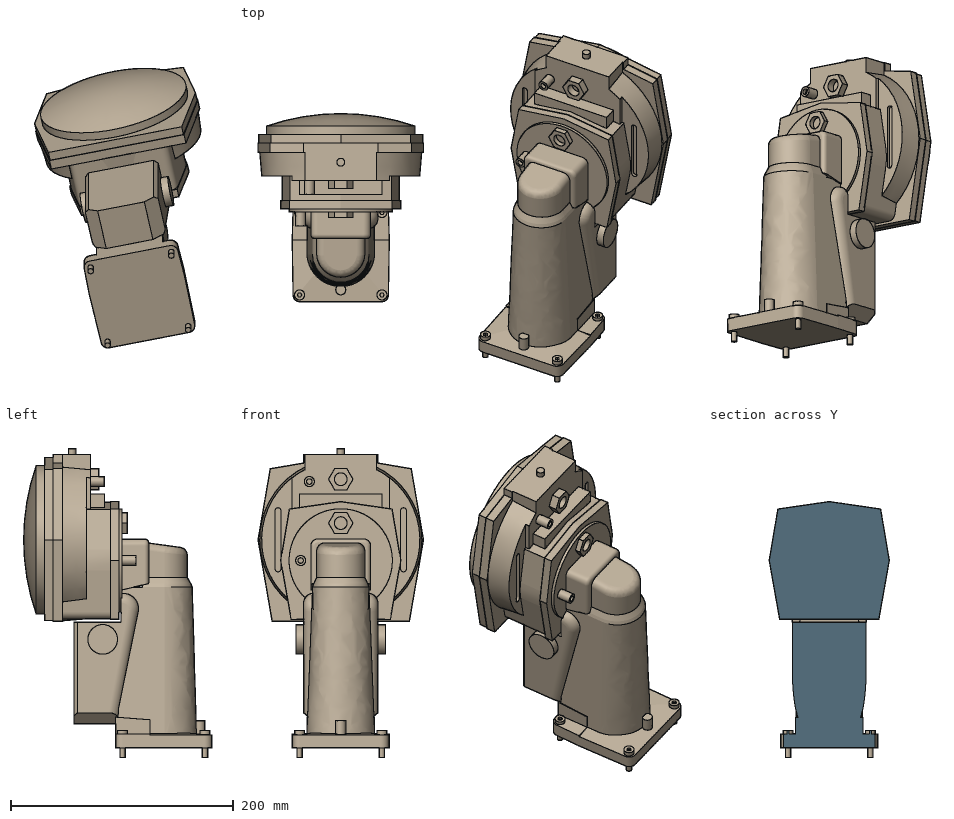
import cadquery as cq
import math


plate_width = 87.4
plate_end_width = 85.6
plate_widest_y = 13.0
plate_front = -42.4
plate_back = 44.1
plate_thickness = 12.6
plate_edge_thickness = 11.6
plate_crown = 13.4
crown_half_width = 24.6
crown_front = -19.3
plate_corner_radius = 6.4
screw_spacing = 74.0
screw_shank_diameter = 5.0
screw_head_diameter = 9.0
screw_head_height = 3.2
screw_tip = -8.8
screw_socket_width = 4.0
screw_socket_depth = 2.0
peg_diameter = 9.0
peg_y = -31.6
peg_top = 24.5

tower_foot_half_width = 30.4
tower_foot_front = -28.6
tower_top_half_width = 25.3
tower_top_front = -24.8
tower_top = 144.4
tower_foot_back = 42.2
tower_top_back = 38.6
foot_block_front = plate_widest_y
foot_block_front_height = 25.2
foot_block_back_height = 27.6
collar_half_width = 24.3
collar_front = -23.6
collar_z = 147.4
cap_half_width = 21.6
cap_front = -20.3
cap_base = 153.0
cap_back = 20.0
cap_top = 182.0
cap_slope = 7.8
cap_fillet = 7.0

neck_half_width = 26.8
neck_front = 14.3
neck_top = 187.5
neck_bottom_front = 147.5
neck_bottom_back = 141.8
neck_fillet = 6.0
neck_front_fillet = 3.5

box_half_width = 33.4
box_back = 81.6
box_top = 112.8
box_bottom = 21.5
box_back_chamfer = 3.4
box_bottom_chamfer_height = 10.0
box_bottom_chamfer_width = 12.0
shoulder_top_front = 20.5
shoulder_low_front = 42.4
shoulder_corner_radius = 14.0
shoulder_back = 39.2
shoulder_top = 138.8
shoulder_fillet = 9.0
selection_margin = 0.1
boss_diameter = 26.6
boss_y = 55.7
boss_z = 97.4
boss_half_length = 40.2

head_z = 186.8
dome_apex = 126.74
dome_rim = 115.4
dome_radius = 66.8
cover_back = 107.9
cover_front = 100.2
flange_front = 91.8
flange_half_width = 74.39
flange_top_half_width = 63.4
flange_bottom_half_width = 61.7
flange_apex_z = 261.5
flange_top_z = 250.7
flange_bottom_z = 113.6
cover_inset = 0.6
cone_front = 70.4
cone_back_radius = 72.8
pad_front_radius = 70.7
slot_width = 5.19
slot_length = 57.6
slot_x = 56.3
slot_depth = 3.0

block_top = 263.5
block_half_width = 32.3
block_rear_half_width = 33.4
block_front = 66.6
pad_bottom = 212.0
pad_half_width = 43.7
bar_half_width = 37.2
bar_front = 54.0
bar_bottom = 215.8
bar_top = 228.0
top_pin_diameter = 7.0
top_pin_y = 83.0
top_pin_top = 268.6

joint_z = 168.3
joint_front = 41.1
joint_back = 48.6
joint_half_width = 54.0
joint_top_half_width = 46.2
joint_bottom_half_width = 44.6
joint_apex_z = 221.2
joint_top_z = 214.5
joint_bottom_z = 115.3
body_inset = 0.5
body_side_radius = 55.0
body_bottom_radius = 7.0
disc_radius = 46.4
disc_front = 38.3

nut_across_flats = 19.0
nut_bore = 11.45
upper_nut_z = 241.2
upper_nut_height = 7.4
lower_nut_z = 201.8
lower_nut_height = 4.8
head_screw_diameter = 9.0
head_screw_length = 12.4
head_screw_socket_diameter = 5.0
head_screw_socket_depth = 4.0
upper_screw_x = -28.2
upper_screw_z = 239.1
lower_screw_x = -36.0
lower_screw_z = 168.2


def box(x0, x1, y0, y1, z0, z1):
    """Axis-aligned block between opposite corners."""
    return cq.Workplane("XY").box(x1 - x0, y1 - y0, z1 - z0, centered=False).translate((x0, y0, z0))


def facing_plane(y):
    """Sketch plane at the given Y whose extrusions grow toward -Y; local axes are X and Z."""
    return cq.Workplane("XZ", origin=(0, y, 0))


def disc(x, z, y_back, y_front, diameter):
    """Cylinder along Y."""
    return facing_plane(y_back).center(x, z).circle(diameter / 2).extrude(y_back - y_front)


def post(x, y, z_bottom, z_top, diameter):
    """Cylinder along Z."""
    return cq.Workplane("XY", origin=(x, y, z_bottom)).circle(diameter / 2).extrude(z_top - z_bottom)


def house(y_back, y_front, half_widths, levels, inset=0.0):
    """Seven-sided slab: low gable on top, widest at mid height, tapering to a flat bottom."""
    top_half, mid_half, bottom_half = (half - inset for half in half_widths)
    apex_z, top_z, mid_z, bottom_z = levels
    outline = [
        (0, apex_z - inset),
        (top_half, top_z - inset),
        (mid_half, mid_z),
        (bottom_half, bottom_z + inset),
        (-bottom_half, bottom_z + inset),
        (-mid_half, mid_z),
        (-top_half, top_z - inset),
    ]
    return facing_plane(y_back).polyline(outline).close().extrude(y_back - y_front)


def u_loft(z_low, low, z_high, high):
    """Taper between two U outlines, each given as (half width, front-most Y, back Y)."""
    def u_wire(z, half_width, front, back):
        return (
            cq.Workplane("XY", origin=(0, 0, z))
            .moveTo(-half_width, back)
            .lineTo(-half_width, 0)
            .threePointArc((0, front), (half_width, 0))
            .lineTo(half_width, back)
            .close()
            .wires()
            .val()
        )
    return cq.Workplane(cq.Solid.makeLoft([u_wire(z_low, *low), u_wire(z_high, *high)], True))


def make_base():
    centre_y = (plate_back + plate_front) / 2
    mid_half = plate_width / 2
    end_half = plate_end_width / 2
    outline = [
        (end_half, plate_back),
        (mid_half, plate_widest_y),
        (end_half, plate_front),
        (-end_half, plate_front),
        (-mid_half, plate_widest_y),
        (-end_half, plate_back),
    ]
    base = cq.Workplane("XY").polyline(outline).close().extrude(plate_crown)
    base = base.edges("|Z and (>Y or <Y)").fillet(plate_corner_radius)
    front_depth = plate_widest_y - plate_front
    crown_depth = plate_widest_y - crown_front
    slab = box(-mid_half, mid_half, plate_front, plate_widest_y, 0, plate_edge_thickness)
    slab = slab.union(box(-mid_half, mid_half, plate_widest_y, plate_back, 0, plate_thickness))
    crown = (
        cq.Workplane("XY", origin=(0, plate_widest_y - front_depth / 2, plate_edge_thickness))
        .rect(plate_width, front_depth)
        .workplane(offset=plate_crown - plate_edge_thickness)
        .center(0, (front_depth - crown_depth) / 2)
        .rect(2 * crown_half_width, crown_depth)
        .loft()
    )
    base = base.intersect(slab.union(crown))
    head_top = plate_thickness + screw_head_height
    for side_x in (-1, 1):
        for side_y in (-1, 1):
            x = side_x * screw_spacing / 2
            y = centre_y + side_y * screw_spacing / 2
            base = base.union(post(x, y, screw_tip, plate_thickness, screw_shank_diameter))
            base = base.union(post(x, y, plate_edge_thickness, head_top, screw_head_diameter))
            socket = (
                cq.Workplane("XY", origin=(x, y, head_top - screw_socket_depth))
                .polygon(6, screw_socket_width)
                .extrude(screw_socket_depth)
            )
            base = base.cut(socket)
    return base.union(post(0, peg_y, 0, peg_top, peg_diameter))


def make_tower():
    foot_outline = (tower_foot_half_width, tower_foot_front, tower_foot_back)
    top_outline = (tower_top_half_width, tower_top_front, tower_top_back)
    shoulder_outline = (tower_top_half_width, tower_top_front, cap_back)
    collar_outline = (collar_half_width, collar_front, cap_back)
    cap_outline = (cap_half_width, cap_front, cap_back)
    column = u_loft(plate_thickness, foot_outline, tower_top, top_outline)
    collar = u_loft(tower_top, shoulder_outline, collar_z, collar_outline)
    collar = collar.union(u_loft(collar_z, collar_outline, cap_base, cap_outline))

    cap = u_loft(cap_base, cap_outline, neck_top, cap_outline)
    rise = math.tan(math.radians(cap_slope))
    above_cap = (
        cq.Workplane("YZ", origin=(-box_half_width, 0, 0))
        .polyline([
            (2 * cap_front, cap_top + 2 * cap_front * rise),
            (2 * cap_back, cap_top + 2 * cap_back * rise),
            (2 * cap_back, 2 * cap_top),
            (2 * cap_front, 2 * cap_top),
        ])
        .close()
        .extrude(2 * box_half_width)
    )
    cap = cap.cut(above_cap)
    cap = cap.faces(">Z").edges("not >Y").fillet(cap_fillet)

    foot_block = (
        cq.Workplane("YZ", origin=(-tower_foot_half_width, 0, 0))
        .polyline([
            (foot_block_front, plate_thickness),
            (plate_back, plate_thickness),
            (plate_back, foot_block_back_height),
            (foot_block_front, foot_block_front_height),
        ])
        .close()
        .extrude(2 * tower_foot_half_width)
    )
    return column.union(collar).union(cap).union(foot_block)


def make_neck():
    neck = (
        cq.Workplane("YZ", origin=(-neck_half_width, 0, 0))
        .polyline([
            (neck_front, neck_bottom_front),
            (disc_front, neck_bottom_back),
            (disc_front, neck_top),
            (neck_front, neck_top),
        ])
        .close()
        .extrude(2 * neck_half_width)
    )
    neck = neck.edges("|Y and >Z").fillet(neck_fillet)
    return neck.faces("<Y").edges("not <Z").fillet(neck_front_fillet)


def make_rear_box():
    body = (
        cq.Workplane("YZ", origin=(-box_half_width, 0, 0))
        .polyline([
            (box_back, box_bottom),
            (box_back, box_top),
            (shoulder_back, box_top),
            (shoulder_back, shoulder_top),
            (shoulder_top_front, shoulder_top),
            (shoulder_low_front, box_bottom),
        ])
        .close()
        .extrude(2 * box_half_width)
    )
    body = body.edges("|X and <Y").fillet(shoulder_corner_radius)
    front_edges = cq.selectors.BoxSelector(
        (-2 * box_half_width, shoulder_top_front, box_bottom),
        (2 * box_half_width, shoulder_back - selection_margin, 2 * shoulder_top),
    )
    body = body.faces("<X or >X").edges(front_edges).fillet(shoulder_fillet)
    body = body.edges("|Z and >Y").chamfer(box_back_chamfer)
    for side in (-1, 1):
        lower_corner = (
            facing_plane(box_back)
            .polyline([
                (side * box_half_width, box_bottom),
                (side * box_half_width, box_bottom + box_bottom_chamfer_height),
                (side * (box_half_width - box_bottom_chamfer_width), box_bottom),
            ])
            .close()
            .extrude(box_back - shoulder_top_front)
        )
        body = body.cut(lower_corner)
    boss = (
        cq.Workplane("YZ", origin=(-boss_half_length, boss_y, boss_z))
        .circle(boss_diameter / 2)
        .extrude(2 * boss_half_length)
    )
    return body.union(boss)


def make_head():
    half_widths = (flange_top_half_width, flange_half_width, flange_bottom_half_width)
    levels = (flange_apex_z, flange_top_z, head_z, flange_bottom_z)
    head = house(cover_front, flange_front, half_widths, levels)
    head = head.union(house(cover_back, cover_front, half_widths, levels, cover_inset))

    dome_rise = dome_apex - dome_rim
    dome_sphere_radius = (dome_radius**2 + dome_rise**2) / (2 * dome_rise)
    arc_mid_r = dome_radius / 2
    arc_mid_y = dome_apex - dome_sphere_radius + math.sqrt(dome_sphere_radius**2 - arc_mid_r**2)
    turned = (
        cq.Workplane("XY", origin=(0, 0, head_z))
        .moveTo(0, block_front)
        .lineTo(pad_front_radius, block_front)
        .lineTo(cone_back_radius, flange_front)
        .lineTo(dome_radius, flange_front)
        .lineTo(dome_radius, dome_rim)
        .threePointArc((arc_mid_r, arc_mid_y), (0, dome_apex))
        .close()
        .revolve(360, (0, 0, 0), (0, 1, 0))
    )
    around_pad = box(
        -flange_half_width, flange_half_width, block_front, cone_front, flange_bottom_z, block_top
    )
    pad = box(-pad_half_width, pad_half_width, block_front, cone_front, pad_bottom, block_top)
    head = head.union(turned).cut(around_pad.cut(pad))
    slots = (
        facing_plane(cone_front + slot_depth)
        .pushPoints([(-slot_x, head_z), (slot_x, head_z)])
        .slot2D(slot_length, slot_width, 90)
        .extrude(slot_depth)
    )
    return head.cut(slots)


def make_clamp_block():
    block = box(-block_half_width, block_half_width, block_front, flange_front, head_z, block_top)
    rear = box(-block_rear_half_width, block_rear_half_width, flange_front, cover_front, head_z, block_top)
    bar = box(-bar_half_width, bar_half_width, bar_front, block_front, bar_bottom, bar_top)
    pin = post(0, top_pin_y, head_z, top_pin_top, top_pin_diameter)
    return block.union(rear).union(bar).union(pin)


def make_joint():
    half_widths = (joint_top_half_width, joint_half_width, joint_bottom_half_width)
    levels = (joint_apex_z, joint_top_z, joint_z, joint_bottom_z)
    body = house(flange_front, joint_back, half_widths, levels, body_inset)
    body = body.edges("|Y and (>X or <X)").fillet(body_side_radius)
    body = body.edges("|Y and <Z").fillet(body_bottom_radius)
    front_plate = house(joint_back, joint_front, half_widths, levels)
    return body.union(front_plate).union(disc(0, joint_z, joint_front, disc_front, 2 * disc_radius))


def make_nut(z, y_seat, height):
    across_corners = nut_across_flats / math.cos(math.pi / 6)
    return (
        facing_plane(y_seat)
        .center(0, z)
        .polygon(6, across_corners)
        .circle(nut_bore / 2)
        .extrude(height)
    )


def make_head_screw(x, z, y_seat):
    tip = y_seat - head_screw_length
    screw = disc(x, z, y_seat, tip, head_screw_diameter)
    return screw.cut(disc(x, z, tip + head_screw_socket_depth, tip, head_screw_socket_diameter))


result = (
    make_base()
    .union(make_tower())
    .union(make_neck())
    .union(make_rear_box())
    .union(make_head())
    .union(make_clamp_block())
    .union(make_joint())
    .union(make_nut(upper_nut_z, block_front, upper_nut_height))
    .union(make_nut(lower_nut_z, disc_front, lower_nut_height))
    .union(make_head_screw(upper_screw_x, upper_screw_z, block_front))
    .union(make_head_screw(lower_screw_x, lower_screw_z, disc_front))
)